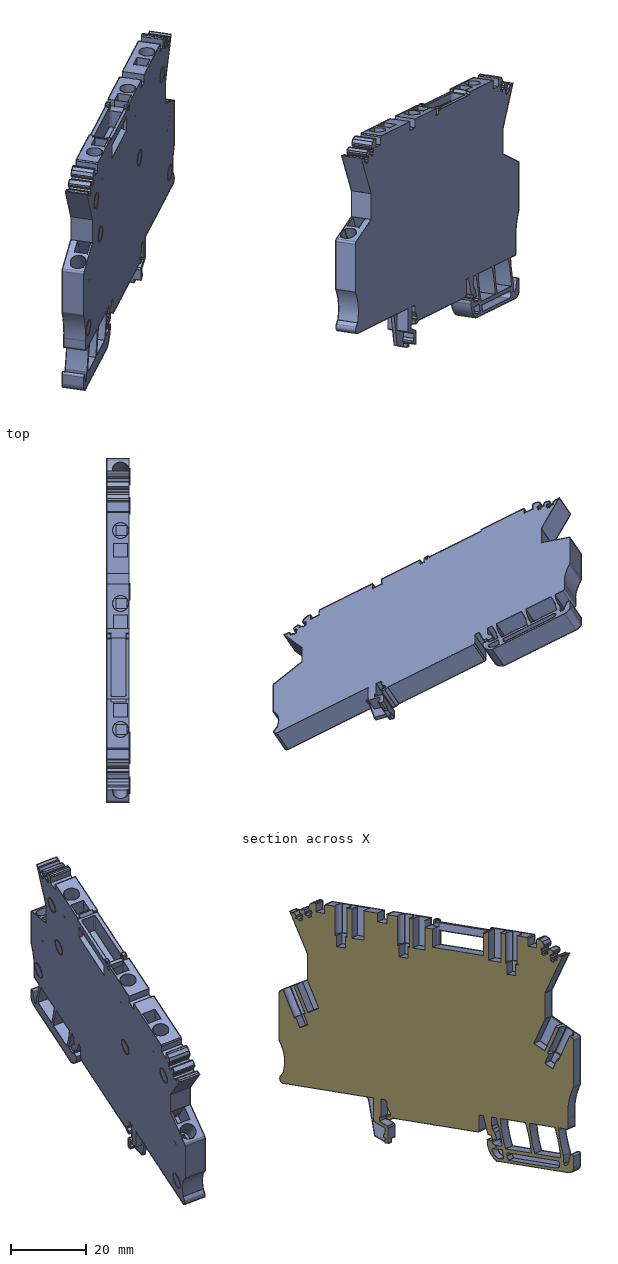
import cadquery as cq
import math

LENGTH = 91.0
HEIGHT = 62.9
OVERALL_THICKNESS = 6.1
BODY_THICKNESS = 5.95

END_Y = LENGTH / 2
NECK_Y = 36.7
NECK_TOP_Z = 48.4
WING_ROOT_Z = 41.3
WING_TIP_Z = 37.05
WING_ROUND = 0.7
SIDE_CURVE_Z = 23.5
BODY_BOTTOM_Z = 11.85
FOOT_CORNER = 0.6
RAIL_BOTTOM_Z = 7.15

COMB_TIP = (42.2, 59.4)
COMB_PITCH_Y = 2.8
COMB_PITCH_Z = 1.4
MARKER_SLOT_OUTER_Y = 34.0
MARKER_SLOT_INNER_Y = 31.45
MARKER_SLOT_Z = 60.5
TOP_ROUND = 0.3

MIDDLE_SLOT = (15.05, 12.25)
HINGE_SLOT = (0.45, -0.7)
HINGE_SLOT_Z = 61.0
HINGE_END_Y = -2.3
HINGE_HOLE = (-1.5, 62.25, 0.45, 0.65)
SILL_Z = 62.15
SILL_END_Y = -18.2
SILL_BEVEL = 0.75
POCKET_X = (1.1, 5.1)
POCKET_Y = (-17.5, -2.0)
POCKET_FLOOR_Z = 56.0
POCKET_CORNER = 0.4
POCKET_RAIL_HEIGHT = 2.1

ENTRY_X = 3.65
ENTRY_DIAMETER = 4.2
ENTRY_DEPTH = 8.0
ENTRY_OVERSHOOT = 0.1
RELEASE_SIZE = 3.6
THROAT_DEPTH = 3.0
THROAT_X = 3.95
THROAT_SIZE = (2.9, 2.6)
TOP_ENTRIES = [(26.4, 21.15), (7.1, 2.3), (-26.2, -21.1)]
WING_ROUND_ENTRY = 6.55
WING_SQUARE_ENTRY = 1.85

STUB_DIAMETER = 4.3
STUBS = [(40.6, 17.45), (-41.0, 17.45), (32.95, 52.3), (-33.1, 52.3), (10.2, 40.0), (-29.0, 39.5)]

WEB_X = (3.2, 4.1)
TOE_X = 2.2
LATCH_INNER_Y = 11.7
LATCH_OUTER_Y = 16.35
LATCH_TOP_BEND_Z = 5.5
LATCH_LIP_Z = 1.1
LATCH_TIP_Z = 0.05

FOOT_POCKET_DEPTH = 5.0


def sketch():
    """Workplane with local x along +Y and local y along +Z, extruding toward +X."""
    return cq.Workplane("YZ")


def block(x_range, y_range, z_range):
    """Box spanning three coordinate ranges."""
    sizes = [high - low for low, high in (x_range, y_range, z_range)]
    return cq.Workplane("XY").box(*sizes, centered=False).translate(
        (x_range[0], y_range[0], z_range[0]))


def comb_notch(index):
    """Keyhole notch of the marker comb, from the outer lip to the inner lip."""
    lip = (40.1, 58.5)
    steps = [(0, 0), (0.2, -0.6), (-0.75, -0.85), (-1.0, -1.3), (-1.65, -1.0), (-1.75, -0.55),
             (-1.45, -0.2), (-1.9, 0.1), (-1.75, 0.6), (-1.15, 0.6), (-0.85, 1.2)]
    base_y = lip[0] - index * COMB_PITCH_Y
    base_z = lip[1] + index * COMB_PITCH_Z
    return [(base_y + dy, base_z + dz) for dy, dz in steps]


def upper_corner(side):
    """Points from the wing tip up over the comb to the marker slot; side is +1 or -1."""
    points = [
        (END_Y, WING_TIP_Z),
        (NECK_Y, WING_ROOT_Z),
        (NECK_Y, NECK_TOP_Z),
        COMB_TIP,
        (41.4, 59.15),
        (40.85, 59.35),
    ]
    points += comb_notch(0)
    points += [(39.2, 60.2), (38.0, 60.75), (37.6, 60.5)]
    points += comb_notch(1)
    points += [
        (36.4, 61.5),
        (35.9, 62.4),
        (34.9, HEIGHT),
        (MARKER_SLOT_OUTER_Y + TOP_ROUND, HEIGHT),
        (MARKER_SLOT_OUTER_Y, HEIGHT - TOP_ROUND),
        (MARKER_SLOT_OUTER_Y, MARKER_SLOT_Z),
        (MARKER_SLOT_INNER_Y, MARKER_SLOT_Z),
        (MARKER_SLOT_INNER_Y, HEIGHT - TOP_ROUND),
        (MARKER_SLOT_INNER_Y - TOP_ROUND, HEIGHT),
    ]
    return [(side * y, z) for y, z in points]


def top_edge():
    """Points along the top, from +Y to -Y between the two marker slots."""
    return [
        (MIDDLE_SLOT[0], HEIGHT),
        (MIDDLE_SLOT[0], MARKER_SLOT_Z),
        (MIDDLE_SLOT[1], MARKER_SLOT_Z),
        (MIDDLE_SLOT[1], HEIGHT),
        (HINGE_SLOT[0], HEIGHT),
        (HINGE_SLOT[0], HINGE_SLOT_Z),
        (HINGE_SLOT[1], HINGE_SLOT_Z),
        (HINGE_SLOT[1], HEIGHT - TOP_ROUND),
        (HINGE_SLOT[1] - TOP_ROUND, HEIGHT),
        (HINGE_END_Y + TOP_ROUND, HEIGHT),
        (HINGE_END_Y, HEIGHT - TOP_ROUND),
        (HINGE_END_Y, SILL_Z),
        (SILL_END_Y, SILL_Z),
        (SILL_END_Y, HEIGHT),
    ]


def add_latch_and_rail_edge(path):
    """Lower edge from the foot arm at -Y across the rail seat and round the latch strip."""
    strip = [
        (-16.3, BODY_BOTTOM_Z),
        (-16.3, RAIL_BOTTOM_Z + 0.4),
        (-15.9, RAIL_BOTTOM_Z),
        (10.4, RAIL_BOTTOM_Z),
        (11.3, 6.6),
        (12.25, 6.6),
        (12.25, 7.7),
        (11.1, 7.7),
        (11.1, 8.4),
        (12.25, 9.9),
        (12.25, 11.4),
        (12.7, BODY_BOTTOM_Z),
        (13.9, BODY_BOTTOM_Z),
        (13.9, 6.9),
        (14.45, 6.9),
        (14.45, 5.85),
        (12.0, 4.8),
        (LATCH_INNER_Y, 4.3),
        (LATCH_INNER_Y, LATCH_LIP_Z),
        (12.4, LATCH_LIP_Z),
        (13.3, 1.65),
        (13.3, 2.2),
        (12.8, 2.8),
        (12.8, 4.1),
        (LATCH_OUTER_Y, LATCH_TOP_BEND_Z),
        (LATCH_OUTER_Y, BODY_BOTTOM_Z),
    ]
    for point in strip:
        path = path.lineTo(*point)
    return path


def add_foot_edge(path):
    """Rail foot: outer rib, end hook, sole, catch and sprung arm."""
    path = path.lineTo(-40.85, BODY_BOTTOM_Z)
    path = path.threePointArc((-41.45, 8.0), (-42.45, 4.6))
    path = path.lineTo(-42.5, 2.3)
    path = path.threePointArc((-43.05, 2.0), (-43.6, 2.4))
    path = path.lineTo(-44.35, 4.7)
    path = path.threePointArc((-44.95, 5.25), (-END_Y, 4.7))
    path = path.lineTo(-END_Y, 1.7)
    path = path.threePointArc((-45.0, 0.5), (-43.8, 0))
    path = path.lineTo(-21.7, 0)
    path = path.threePointArc((-19.75, 1.9), (-18.75, 4.5))
    path = path.lineTo(-18.75, 5.5)
    path = path.lineTo(-20.2, 5.55)
    path = path.lineTo(-20.5, 5.2)
    path = path.threePointArc((-20.75, 4.65), (-21.3, 4.4))
    path = path.lineTo(-23.0, 4.4)
    path = path.lineTo(-23.3, 4.8)
    path = path.threePointArc((-22.6, 8.2), (-21.55, BODY_BOTTOM_Z))
    path = path.lineTo(-20.2, BODY_BOTTOM_Z)
    path = path.lineTo(-20.2, 9.4)
    path = path.lineTo(-20.5, 8.6)
    path = path.lineTo(-21.2, 7.9)
    path = path.lineTo(-21.85, 5.85)
    path = path.lineTo(-20.45, 5.7)
    path = path.lineTo(-19.95, 6.85)
    path = path.lineTo(-19.0, 6.95)
    path = path.threePointArc((-18.25, 9.2), (-17.6, BODY_BOTTOM_Z))
    return path


def housing():
    """Full silhouette of the housing extruded through the body thickness."""
    left = upper_corner(1)
    path = sketch().moveTo(*left[0])
    for point in left[1:] + top_edge() + upper_corner(-1)[::-1]:
        path = path.lineTo(*point)

    path = path.lineTo(-END_Y, SIDE_CURVE_Z + 0.5)
    path = path.lineTo(-45.35, SIDE_CURVE_Z)
    path = path.threePointArc((-43.98, 19.2), (-43.8, 15.0))
    path = path.lineTo(-43.85, BODY_BOTTOM_Z + FOOT_CORNER)
    path = path.tangentArcPoint((-43.85 + FOOT_CORNER, BODY_BOTTOM_Z), relative=False)

    path = add_foot_edge(path)
    path = add_latch_and_rail_edge(path)

    path = path.lineTo(44.4, BODY_BOTTOM_Z)
    path = path.threePointArc((45.2, 12.5), (45.1, 13.8))
    path = path.lineTo(44.3, 14.8)
    path = path.threePointArc((43.85, 18.6), (END_Y, SIDE_CURVE_Z))
    solid = path.close().extrude(BODY_THICKNESS)

    for end in (-END_Y, END_Y):
        wing_tip = cq.selectors.NearestToPointSelector((BODY_THICKNESS / 2, end, WING_TIP_Z))
        solid = solid.edges(wing_tip).fillet(WING_ROUND)
    return solid


def foot_window(top_start, left_mid, bottom_start, bottom_end, right_mid, top_end):
    """Opening between two curved foot ribs, cut right through."""
    return (
        sketch()
        .moveTo(*top_start)
        .threePointArc(left_mid, bottom_start)
        .lineTo(*bottom_end)
        .threePointArc(right_mid, top_end)
        .close()
        .extrude(BODY_THICKNESS)
    )


def foot_windows():
    """The two openings between the three foot ribs."""
    floor_z = 3.87
    first = foot_window((-22.9, BODY_BOTTOM_Z), (-23.35, 8.2), (-24.55, floor_z),
                        (-32.35, floor_z), (-31.65, 8.0), (-30.55, BODY_BOTTOM_Z))
    second = foot_window((-31.95, BODY_BOTTOM_Z), (-32.4, 8.2), (-33.5, floor_z),
                         (-41.4, floor_z), (-40.7, 8.0), (-39.6, BODY_BOTTOM_Z))
    return first.union(second)


def foot_pockets():
    """Two blind recesses in the -X face of the foot sole."""
    long_pocket = (
        sketch()
        .moveTo(-24.9, 2.75)
        .lineTo(-24.9, 1.9)
        .lineTo(-25.5, 0.85)
        .lineTo(-40.1, 0.85)
        .threePointArc((-41.1, 1.85), (-40.6, 2.75))
        .close()
        .extrude(FOOT_POCKET_DEPTH)
    )
    toe_pocket = (
        sketch()
        .moveTo(-20.4, 3.3)
        .lineTo(-23.4, 3.3)
        .lineTo(-23.8, 1.1)
        .lineTo(-22.9, 0.85)
        .threePointArc((-21.3, 1.45), (-20.4, 3.3))
        .close()
        .extrude(FOOT_POCKET_DEPTH)
    )
    return long_pocket.union(toe_pocket)


def latch_web():
    """Thin web stiffening the latch strip at mid thickness, with a toe at its lower end."""
    web_outline = [
        (18.95, BODY_BOTTOM_Z),
        (18.3, 11.1),
        (17.0, 4.5),
        (16.4, 1.35),
        (12.8, LATCH_TIP_Z),
        (11.9, LATCH_TIP_Z),
        (LATCH_INNER_Y, 0.4),
        (LATCH_INNER_Y, 4.3),
        (LATCH_OUTER_Y, LATCH_TOP_BEND_Z),
        (LATCH_OUTER_Y, BODY_BOTTOM_Z),
    ]
    web = (
        sketch()
        .workplane(offset=WEB_X[0])
        .polyline(web_outline)
        .close()
        .extrude(WEB_X[1] - WEB_X[0])
    )
    toe = block((TOE_X, WEB_X[1]), (LATCH_INNER_Y, 12.8), (LATCH_TIP_Z, LATCH_LIP_Z))
    return web.union(toe)


def entry_pair(round_at, square_at):
    """Cutter with a round and a square hole along local Y, sunk below z = 0; the round one has a throat."""
    top = cq.Workplane("XY").workplane(offset=ENTRY_OVERSHOOT)
    bore_length = ENTRY_DEPTH + ENTRY_OVERSHOOT
    throat_length = bore_length + THROAT_DEPTH

    round_hole = top.center(ENTRY_X, round_at).circle(ENTRY_DIAMETER / 2).extrude(-bore_length)
    throat = top.center(THROAT_X, round_at).rect(*THROAT_SIZE).extrude(-throat_length)
    square_hole = top.center(ENTRY_X, square_at).rect(RELEASE_SIZE, RELEASE_SIZE).extrude(-bore_length)
    return round_hole.union(throat).union(square_hole)


def wing_entries():
    """The entry pair square to the slope of each wing."""
    slope = math.degrees(math.atan2(WING_ROOT_Z - WING_TIP_Z, END_Y - NECK_Y))
    positive_end = (
        entry_pair(WING_ROUND_ENTRY, WING_SQUARE_ENTRY)
        .rotate((0, 0, 0), (1, 0, 0), -slope)
        .translate((0, NECK_Y, WING_ROOT_Z))
    )
    return positive_end.union(positive_end.mirror("XZ"))


def lamp_pocket():
    """Deep top pocket, open through the +X wall below a thin bar."""
    pocket = block(POCKET_X, POCKET_Y, (POCKET_FLOOR_Z, HEIGHT)).edges("|Z").fillet(POCKET_CORNER)
    opening = block(
        ((POCKET_X[0] + POCKET_X[1]) / 2, BODY_THICKNESS),
        (POCKET_Y[0] + POCKET_CORNER, POCKET_Y[1] - POCKET_CORNER),
        (POCKET_FLOOR_Z, SILL_Z - POCKET_RAIL_HEIGHT),
    )
    return pocket.union(opening)


def hinge_cuts():
    """Gap between the hinge ears, the pin holes and the bevel opposite the hinge."""
    gap = block(POCKET_X, (HINGE_END_Y, HINGE_SLOT[0]), (HINGE_SLOT_Z, HEIGHT))
    hole_y, hole_z, hole_width, hole_height = HINGE_HOLE
    pin_hole = (
        sketch()
        .center(hole_y, hole_z)
        .rect(hole_width, hole_height)
        .extrude(BODY_THICKNESS)
    )
    bevel = (
        sketch()
        .workplane(offset=POCKET_X[0])
        .polyline([(SILL_END_Y, SILL_Z), (SILL_END_Y - SILL_BEVEL, HEIGHT), (SILL_END_Y, HEIGHT)])
        .close()
        .extrude(POCKET_X[1] - POCKET_X[0])
    )
    return gap.union(pin_hole).union(bevel)


def stubs():
    """Low round stubs standing out of the +X face."""
    return (
        sketch()
        .workplane(offset=BODY_THICKNESS)
        .pushPoints(STUBS)
        .circle(STUB_DIAMETER / 2)
        .extrude(OVERALL_THICKNESS - BODY_THICKNESS)
    )


result = housing().union(latch_web()).union(stubs())
result = result.cut(foot_windows()).cut(foot_pockets())
for round_y, square_y in TOP_ENTRIES:
    result = result.cut(entry_pair(round_y, square_y).translate((0, 0, HEIGHT)))
result = result.cut(wing_entries()).cut(lamp_pocket()).cut(hinge_cuts())